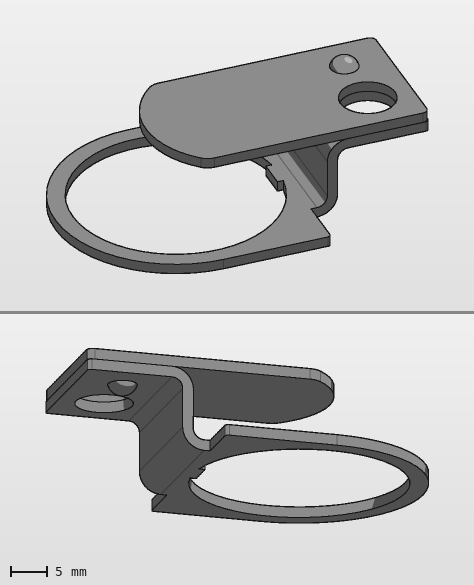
import cadquery as cq
import math

thickness = 1.5
stack_top = 13.15
plate_bottom = stack_top - thickness
flange_bottom = plate_bottom - thickness

ring_width = 35.3
ring_outer_radius = ring_width / 2
ring_hole_radius = 15.1
ring_back_y = 15.8
ring_corner_radius = 0.5
tab_width = 4.25
tab_tip_y = 14.05

strip_width = 20.4
back_y = 50.8 - ring_outer_radius
leg_front_y = 18.2
bend_inner_radius = 1.5
bend_outer_radius = bend_inner_radius + thickness
strip_corner_radius = 0.5
plate_front_y = -4.35
plate_front_radius = 12.85
plate_front_corner_radius = 2.55
plate_back_corner_radius = 0.9

feature_y = 26.65
hole_x = 3.8
hole_diameter = 8.0
rivet_x = -4.85
shank_diameter = 2.3
head_diameter = 4.05
head_height = 1.45


def vertical_cylinder(x, y, diameter):
    """Cylinder through the full height of the assembly."""
    return cq.Workplane("XY").center(x, y).circle(diameter / 2).extrude(stack_top)


def cut_flange_holes(body):
    """Cut the large hole and the rivet hole."""
    body = body.cut(vertical_cylinder(hole_x, feature_y, hole_diameter))
    return body.cut(vertical_cylinder(rivet_x, feature_y, shank_diameter))


def make_ring():
    """D-shaped ring with a small tab on the inner edge of its straight side."""
    outline = (
        cq.Workplane("XY")
        .moveTo(-ring_outer_radius, 0)
        .threePointArc((0, -ring_outer_radius), (ring_outer_radius, 0))
        .lineTo(ring_outer_radius, ring_back_y)
        .lineTo(-ring_outer_radius, ring_back_y)
        .close()
        .extrude(thickness)
    )
    outline = outline.edges("|Z and >Y").fillet(ring_corner_radius)
    ring = outline.cut(cq.Workplane("XY").circle(ring_hole_radius).extrude(thickness))
    tab_length = ring_back_y - tab_tip_y
    tab = cq.Workplane("XY").box(tab_width, tab_length, thickness, centered=(True, False, False))
    return ring.union(tab.translate((0, tab_tip_y, 0)))


def make_strip():
    """Z-bent strip rising from the ring to the flange below the plate."""
    half_width = strip_width / 2
    leg_back_y = leg_front_y + thickness
    strip = (
        cq.Workplane("YZ", origin=(-half_width, 0, 0))
        .moveTo(ring_back_y, 0)
        .lineTo(leg_back_y - bend_outer_radius, 0)
        .radiusArc((leg_back_y, bend_outer_radius), -bend_outer_radius)
        .lineTo(leg_back_y, flange_bottom - bend_inner_radius)
        .radiusArc((leg_back_y + bend_inner_radius, flange_bottom), bend_inner_radius)
        .lineTo(back_y, flange_bottom)
        .lineTo(back_y, plate_bottom)
        .lineTo(leg_front_y + bend_outer_radius, plate_bottom)
        .radiusArc((leg_front_y, plate_bottom - bend_outer_radius), -bend_outer_radius)
        .lineTo(leg_front_y, thickness + bend_inner_radius)
        .radiusArc((leg_front_y - bend_inner_radius, thickness), bend_inner_radius)
        .lineTo(ring_back_y, thickness)
        .close()
        .extrude(strip_width)
    )
    return strip.edges("|Z and >Y").fillet(strip_corner_radius)


def make_bracket():
    """Ring and bent strip as one sheet-metal body."""
    return cut_flange_holes(make_ring().union(make_strip()))


def make_plate():
    """Flat plate with a rounded front end."""
    half_width = strip_width / 2
    arc_rise = plate_front_radius - math.sqrt(plate_front_radius**2 - half_width**2)
    shoulder_y = plate_front_y + arc_rise
    plate = (
        cq.Workplane("XY", origin=(0, 0, plate_bottom))
        .moveTo(-half_width, shoulder_y)
        .threePointArc((0, plate_front_y), (half_width, shoulder_y))
        .lineTo(half_width, back_y)
        .lineTo(-half_width, back_y)
        .close()
        .extrude(thickness)
    )
    plate = plate.edges("|Z").edges("<Y").fillet(plate_front_corner_radius)
    plate = plate.edges("|Z and >Y").fillet(plate_back_corner_radius)
    return cut_flange_holes(plate)


def make_rivet():
    """Rivet with a domed head on each side of the joined sheets."""
    head_radius = head_diameter / 2
    shank_radius = shank_diameter / 2
    dome_radius = (head_radius**2 + head_height**2) / (2 * head_height)
    profile = (
        cq.Workplane("XZ")
        .moveTo(0, flange_bottom - head_height)
        .radiusArc((head_radius, flange_bottom), -dome_radius)
        .lineTo(shank_radius, flange_bottom)
        .lineTo(shank_radius, stack_top)
        .lineTo(head_radius, stack_top)
        .radiusArc((0, stack_top + head_height), -dome_radius)
        .close()
    )
    return profile.revolve(360, (0, 0, 0), (0, 1, 0)).translate((rivet_x, feature_y, 0))


bracket = make_bracket()
plate = make_plate()
rivet = make_rivet()

result = cq.Compound.makeCompound([bracket.val(), plate.val(), rivet.val()])